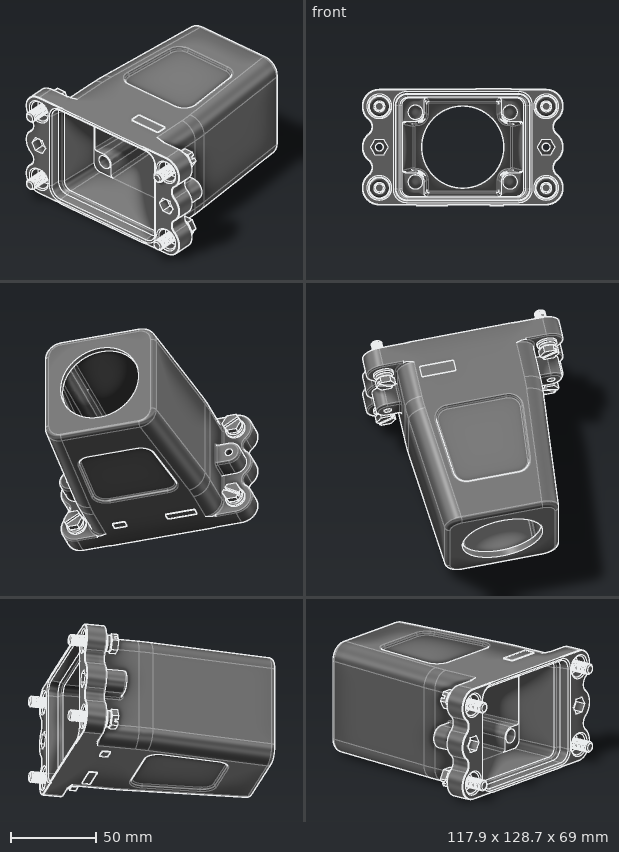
import cadquery as cq
import math

HOOD_LENGTH = 120.3
HALF_WIDTH = 40.8
END_HALF_WIDTH = 34.0
HALF_HEIGHT = 34.0
EDGE_RADIUS = 10.0
END_FILLET = 2.8
TAPER_START = 40.3
BEND_LENGTH = 4.2

FLANGE_THICKNESS = 12.2
FLANGE_FILLET = 0.8
FLANGE_CHAMFER = 0.4
ROOT_FILLET = 1.0
FLUSH_HALF_WIDTH = 36.7
LOBE_RADIUS = 10.0
LOBE_X = 48.97
LOBE_Z = HALF_HEIGHT - LOBE_RADIUS
NOTCH_RADIUS = 5.4

BOSS_RADIUS = 6.8
BOSS_TOP = 25.2
BOSS_FILLET = 1.2
NUT_CORNERS = 10.4
NUT_DEPTH = 6.4
NUT_HOLE_DIAMETER = 4.5

MOUTH_SECTIONS = [
    (0, 40.8, 32.7, 8.0),
    (0.8, 39.5, 31.4, 6.7),
    (6.4, 39.3, 31.0, 6.7),
    (8.1, 37.8, 30.0, 5.4),
    (9.0, 36.8, 29.3, 4.9),
    (34.7, 35.8, 29.0, 4.6),
]

PILLAR_FACE = MOUTH_SECTIONS[-1][0]
CHAMBER_FLOOR = 116.5
CHAMBER_HALF_WIDTH = 35.3
CHAMBER_HALF_HEIGHT = 29.0
FLOOR_HALF_WIDTH = 29.1
FLOOR_HALF_HEIGHT = 26.8
FLOOR_FILLET = 1.0
PILLAR_X = 22.7
PILLAR_Z = 15.0
PILLAR_RADIUS = 5.7
PILLAR_DRAFT = 1.4
PILLAR_ROOT_FILLET = 1.5
PILLAR_HOLE_X = 27.8
PILLAR_HOLE_Z = 20.5
PILLAR_HOLE_DIAMETER = 8.5
PILLAR_HOLE_DEPTH = 12.9
CABLE_HOLE_DIAMETER = 48.1

RECESS_START = 45.5
RECESS_END = 95.4
RECESS_START_HALF_WIDTH = 26.1
RECESS_END_HALF_WIDTH = 22.0
RECESS_RADIUS = 7.7
RECESS_DEPTH = 1.9
RECESS_FILLET = 0.9

PADS = [(18.0, 1, 20.5, 7.0), (-18.0, -1, 18.3, 5.1), (20.0, -1, 7.9, 5.1)]
PAD_Y = 20.5
PAD_RADIUS = 0.8
PAD_HEIGHT = 0.5

SCREW_DIAMETER = 6.4
SCREW_TIP = -8.4
TIP_CHAMFER = 0.9
THREAD_PITCH = 1.0
THREAD_COUNT = 14
THREAD_DEPTH = 0.5
BORE_DIAMETER = 12.7
BORE_DEPTH = 8.4
BORE_CHAMFER = 0.9
RING_TUBE_RADIUS = 1.4
RING_OVERLAP = 0.1
RING_Y = 6.8
HEAD_FLATS = 10.0
HEAD_START = 16.5
HEAD_END = 20.3
SLOT_WIDTH = 1.5
SLOT_DEPTH = 1.9
SLOT_ANGLE = 30
WASHER_DIAMETER = 11.8
WASHER_TOP = 13.5
LOCK_WASHER_DIAMETER = 9.7
LOCK_WASHER_START = 14.2
LOCK_WASHER_TOP = 16.0

SIDES = (-1, 1)
CORNERS = [(side_x, side_z) for side_x in SIDES for side_z in SIDES]

TOLERANCE = 0.1
CLEARANCE = 1.3


def box_of_edges(x_range, y_range, z_range):
    """Selector for the edges that lie wholly inside a box, with a small tolerance all round."""
    ranges = (x_range, y_range, z_range)
    low = tuple(min(span) - TOLERANCE for span in ranges)
    high = tuple(max(span) + TOLERANCE for span in ranges)
    return cq.selectors.BoxSelector(low, high, boundingbox=True)


def plane_at(y):
    """Plane across the hood axis; a negative extrusion moves towards the end wall."""
    return cq.Workplane("XZ", origin=(0, y, 0))


def cylinder(x, z, start, end, diameter):
    return plane_at(start).center(x, z).circle(diameter / 2).extrude(start - end)


def rounded_loft(first, second):
    """Ruled solid between two rounded rectangles, each (y, half width, half height, radius)."""
    outlines = []
    for y, half_width, half_height, radius in (first, second):
        slab = plane_at(y).rect(2 * half_width, 2 * half_height).extrude(-CLEARANCE)
        outlines.append(slab.edges("|Y").fillet(radius).faces("<Y").wires().val())
    return cq.Workplane(cq.Solid.makeLoft(outlines, True))


def make_hood():
    """Box with parallel sides near the mouth that bend smoothly into tapered ones."""
    lean = math.atan((HALF_WIDTH - END_HALF_WIDTH) / (HOOD_LENGTH - TAPER_START))
    bend_end_x = HALF_WIDTH - BEND_LENGTH * math.sin(lean)
    bend_end_y = TAPER_START + BEND_LENGTH * math.cos(lean)
    outline = (
        cq.Workplane("XY", origin=(0, 0, -HALF_HEIGHT))
        .lineTo(HALF_WIDTH, 0)
        .lineTo(HALF_WIDTH, TAPER_START - BEND_LENGTH)
        .tangentArcPoint((bend_end_x, bend_end_y), relative=False)
        .lineTo(END_HALF_WIDTH, HOOD_LENGTH)
        .lineTo(0, HOOD_LENGTH)
        .mirrorY()
    )
    hood = outline.extrude(2 * HALF_HEIGHT)
    hood = hood.faces("<Z or >Z").edges("not(<Y or >Y)").fillet(EDGE_RADIUS)
    return hood.faces(">Y").edges().fillet(END_FILLET)


def make_flange():
    """Plate whose sides run through three lobes joined by tangent notches."""
    notch_z = LOBE_Z / 2
    notch_x = LOBE_X + math.sqrt((LOBE_RADIUS + NOTCH_RADIUS) ** 2 - notch_z**2)
    lobe_share = LOBE_RADIUS / (LOBE_RADIUS + NOTCH_RADIUS)
    tangent_x = LOBE_X + lobe_share * (notch_x - LOBE_X)
    tangent_z = lobe_share * notch_z
    lobe_tip = LOBE_X + LOBE_RADIUS
    notch_tip = notch_x - NOTCH_RADIUS
    outline = (
        plane_at(0)
        .moveTo(0, -HALF_HEIGHT)
        .lineTo(LOBE_X, -HALF_HEIGHT)
        .threePointArc((lobe_tip, -LOBE_Z), (tangent_x, tangent_z - LOBE_Z))
        .threePointArc((notch_tip, -notch_z), (tangent_x, -tangent_z))
        .threePointArc((lobe_tip, 0), (tangent_x, tangent_z))
        .threePointArc((notch_tip, notch_z), (tangent_x, LOBE_Z - tangent_z))
        .threePointArc((lobe_tip, LOBE_Z), (LOBE_X, HALF_HEIGHT))
        .lineTo(0, HALF_HEIGHT)
        .mirrorY()
    )
    flange = outline.extrude(-FLANGE_THICKNESS)
    return flange.faces(">Y").edges().fillet(FLANGE_FILLET).faces("<Y").edges().chamfer(FLANGE_CHAMFER)


def make_nut_boss(side):
    """Round boss merging into the hood wall, for the nut and its through hole."""
    boss = cylinder(side * LOBE_X, 0, 0, BOSS_TOP, 2 * BOSS_RADIUS)
    bridge_end = HALF_WIDTH - CLEARANCE
    bridge = plane_at(0).center(side * (LOBE_X + bridge_end) / 2, 0)
    bridge = bridge.rect(LOBE_X - bridge_end, 2 * BOSS_RADIUS).extrude(-BOSS_TOP)
    boss = boss.union(bridge).faces(">Y").edges().fillet(BOSS_FILLET)

    wall = cq.Workplane("YZ", origin=(side * bridge_end, 0, 0)).rect(4 * BOSS_TOP, 4 * BOSS_RADIUS)
    wall = wall.extrude(side * (HALF_WIDTH - bridge_end))
    wall_x = side * HALF_WIDTH
    wall_plane = box_of_edges((wall_x, wall_x), (0, BOSS_TOP), (-BOSS_RADIUS, BOSS_RADIUS))
    window = plane_at(0).rect(4 * LOBE_X, 3 * BOSS_RADIUS).extrude(-BOSS_TOP - 2 * ROOT_FILLET)
    return boss.union(wall).edges(wall_plane).fillet(ROOT_FILLET).intersect(window)


def make_nut_pocket(side):
    pocket = plane_at(0).center(side * LOBE_X, 0).polygon(6, NUT_CORNERS).extrude(-NUT_DEPTH)
    return pocket.union(cylinder(side * LOBE_X, 0, 0, BOSS_TOP, NUT_HOLE_DIAMETER))


def make_drafted_box(half_width, half_height, floor_half_width, floor_half_height):
    """Void from the pillar faces down to the chamber floor, narrowing with depth."""
    box = plane_at(PILLAR_FACE).rect(2 * half_width, 2 * half_height)
    box = box.workplane(offset=PILLAR_FACE - CHAMBER_FLOOR)
    box = box.rect(2 * floor_half_width, 2 * floor_half_height).loft(ruled=True)
    return box.edges("not(<Y or >Y)").fillet(PILLAR_ROOT_FILLET)


def make_chamber():
    """Cross-shaped void that leaves a pillar standing in each corner."""
    floor_x = PILLAR_X - PILLAR_DRAFT
    floor_z = PILLAR_Z - PILLAR_DRAFT
    wide = make_drafted_box(CHAMBER_HALF_WIDTH, PILLAR_Z, FLOOR_HALF_WIDTH, floor_z)
    tall = make_drafted_box(PILLAR_X, CHAMBER_HALF_HEIGHT, floor_x, FLOOR_HALF_HEIGHT)
    pillar_edges = cq.selectors.BoxSelector(
        (-PILLAR_X, PILLAR_FACE + CLEARANCE, -PILLAR_Z), (PILLAR_X, CHAMBER_FLOOR - CLEARANCE, PILLAR_Z)
    )
    chamber = wide.union(tall).edges(pillar_edges).fillet(PILLAR_RADIUS)
    return chamber.faces(">Y").edges().fillet(FLOOR_FILLET)


def make_cavity():
    """Everything hollow inside the hood, from the stepped mouth to the cable hole in the end wall."""
    cavity = make_chamber()
    for first, second in zip(MOUTH_SECTIONS, MOUTH_SECTIONS[1:]):
        cavity = cavity.union(rounded_loft(first, second))
    for side_x, side_z in CORNERS:
        hole_end = PILLAR_FACE + PILLAR_HOLE_DEPTH
        hole = cylinder(
            side_x * PILLAR_HOLE_X, side_z * PILLAR_HOLE_Z, PILLAR_FACE, hole_end, PILLAR_HOLE_DIAMETER
        )
        cavity = cavity.union(hole)
    return cavity.union(cylinder(0, 0, PILLAR_FACE, HOOD_LENGTH, CABLE_HOLE_DIAMETER))


def cut_recess(hood, side):
    """Trapezoidal recess with rounded rim and floor in the upper (1) or lower (-1) face."""
    corners = [
        (-RECESS_START_HALF_WIDTH, RECESS_START),
        (RECESS_START_HALF_WIDTH, RECESS_START),
        (RECESS_END_HALF_WIDTH, RECESS_END),
        (-RECESS_END_HALF_WIDTH, RECESS_END),
    ]
    face_z = side * HALF_HEIGHT
    pocket = cq.Workplane("XY", origin=(0, 0, face_z)).polyline(corners).close()
    pocket = pocket.extrude(-side * RECESS_DEPTH).edges("|Z").fillet(RECESS_RADIUS)
    inner_face = "<Z" if side > 0 else ">Z"
    pocket = pocket.faces(inner_face).edges().fillet(RECESS_FILLET)
    rim = box_of_edges(
        (-RECESS_START_HALF_WIDTH, RECESS_START_HALF_WIDTH),
        (RECESS_START, RECESS_END),
        (face_z, face_z),
    )
    return hood.cut(pocket).edges(rim).fillet(RECESS_FILLET)


def make_screw_bore(x, z):
    bore = cylinder(x, z, 0, BORE_DEPTH, BORE_DIAMETER)
    mouth = plane_at(0).center(x, z).circle(BORE_DIAMETER / 2 + BORE_CHAMFER)
    return bore.union(mouth.extrude(-BORE_CHAMFER, taper=45))


def make_screw():
    """Threaded shank along Y with an O-ring, washers and a slotted hexagon head."""
    radius = SCREW_DIAMETER / 2
    root = radius - THREAD_DEPTH
    thread_start = SCREW_TIP + TIP_CHAMFER
    profile = cq.Workplane("XY").moveTo(0, SCREW_TIP).lineTo(radius - TIP_CHAMFER, SCREW_TIP)
    profile = profile.lineTo(radius, thread_start)
    for turn in range(THREAD_COUNT):
        crest = thread_start + turn * THREAD_PITCH
        profile = profile.lineTo(root, crest + THREAD_PITCH / 2).lineTo(radius, crest + THREAD_PITCH)
    profile = profile.lineTo(radius, HEAD_START).lineTo(0, HEAD_START).close()
    screw = profile.revolve(360, (0, 0, 0), (0, 1, 0))

    ring_radius = radius + RING_TUBE_RADIUS - RING_OVERLAP
    ring = cq.Workplane("XY").center(ring_radius, RING_Y).circle(RING_TUBE_RADIUS)
    screw = screw.union(ring.revolve(360, (-ring_radius, 0, 0), (-ring_radius, 1, 0)))
    screw = screw.union(cylinder(0, 0, FLANGE_THICKNESS, WASHER_TOP, WASHER_DIAMETER))
    screw = screw.union(cylinder(0, 0, LOCK_WASHER_START, LOCK_WASHER_TOP, LOCK_WASHER_DIAMETER))

    head = plane_at(HEAD_START).polygon(6, HEAD_FLATS / math.cos(math.pi / 6)).extrude(HEAD_START - HEAD_END)
    slot = plane_at(HEAD_END).rect(2 * HEAD_FLATS, SLOT_WIDTH).extrude(SLOT_DEPTH)
    slot = slot.rotate((0, 0, 0), (0, 1, 0), -SLOT_ANGLE)
    return screw.union(head.cut(slot))


def make_pad(x, side, length, width):
    pad = cq.Workplane("XY", origin=(x, PAD_Y, side * HALF_HEIGHT))
    return pad.rect(length, width).extrude(side * PAD_HEIGHT).edges("|Z").fillet(PAD_RADIUS)


def make_root_cove(hood):
    """Concave blend between the hood sides and the flange, kept inside the flange outline.

    Where the hood is flush with the flange edge, the rounding of that edge is filled up.
    """
    base = plane_at(0).rect(3 * HALF_WIDTH, 3 * HALF_HEIGHT).extrude(-FLANGE_THICKNESS)
    root_plane = box_of_edges(
        (-HALF_WIDTH, HALF_WIDTH),
        (FLANGE_THICKNESS, FLANGE_THICKNESS),
        (-HALF_HEIGHT, HALF_HEIGHT),
    )
    cove = base.union(hood).edges(root_plane).fillet(ROOT_FILLET)
    window = plane_at(FLANGE_THICKNESS).rect(3 * HALF_WIDTH, 2 * HALF_HEIGHT).extrude(-2 * ROOT_FILLET)
    flush_edge = plane_at(FLANGE_CHAMFER).rect(2 * FLUSH_HALF_WIDTH, 2 * HALF_HEIGHT)
    return cove.intersect(window).union(flush_edge.extrude(FLANGE_CHAMFER - FLANGE_THICKNESS))


hood = make_hood()
for side in SIDES:
    hood = cut_recess(hood, side)
body = hood.union(make_flange()).union(make_root_cove(hood))
for side in SIDES:
    body = body.union(make_nut_boss(side))
    body = body.cut(make_nut_pocket(side))
body = body.cut(make_cavity())
for pad in PADS:
    body = body.union(make_pad(*pad))

screw = make_screw()
for side_x, side_z in CORNERS:
    x = side_x * LOBE_X
    z = side_z * LOBE_Z
    slotted = screw if side_x * side_z > 0 else screw.mirror("YZ")
    body = body.cut(make_screw_bore(x, z)).union(slotted.translate((x, 0, z)))

result = body